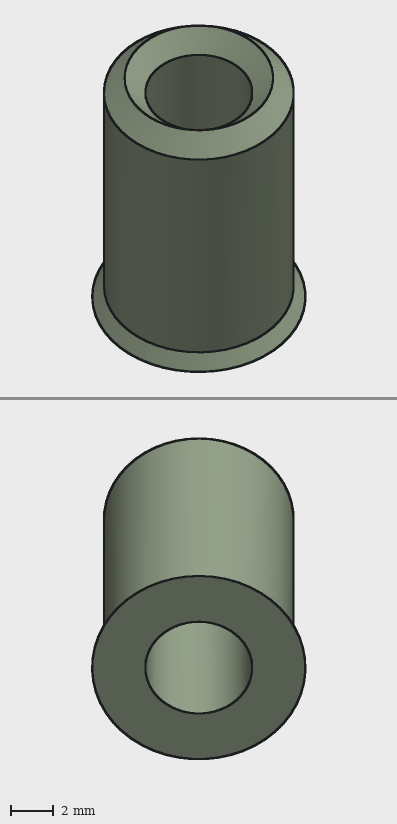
import cadquery as cq

height = 14.47
bore_diameter = 5.0
body_diameter = 8.9
flange_diameter = 10.0
flange_height = 0.75

bore_radius = bore_diameter / 2
body_radius = body_diameter / 2
flange_radius = flange_diameter / 2

rim_radius = (bore_radius + body_radius) / 2
bevel_size = body_radius - rim_radius
bevel_base = height - bevel_size

half_section = (
    cq.Workplane("XZ")
    .moveTo(bore_radius, 0)
    .lineTo(flange_radius, 0)
    .lineTo(body_radius, flange_height)
    .lineTo(body_radius, bevel_base)
    .lineTo(rim_radius, height)
    .lineTo(bore_radius, bevel_base)
    .close()
)

result = half_section.revolve(360, (0, 0, 0), (0, 1, 0))